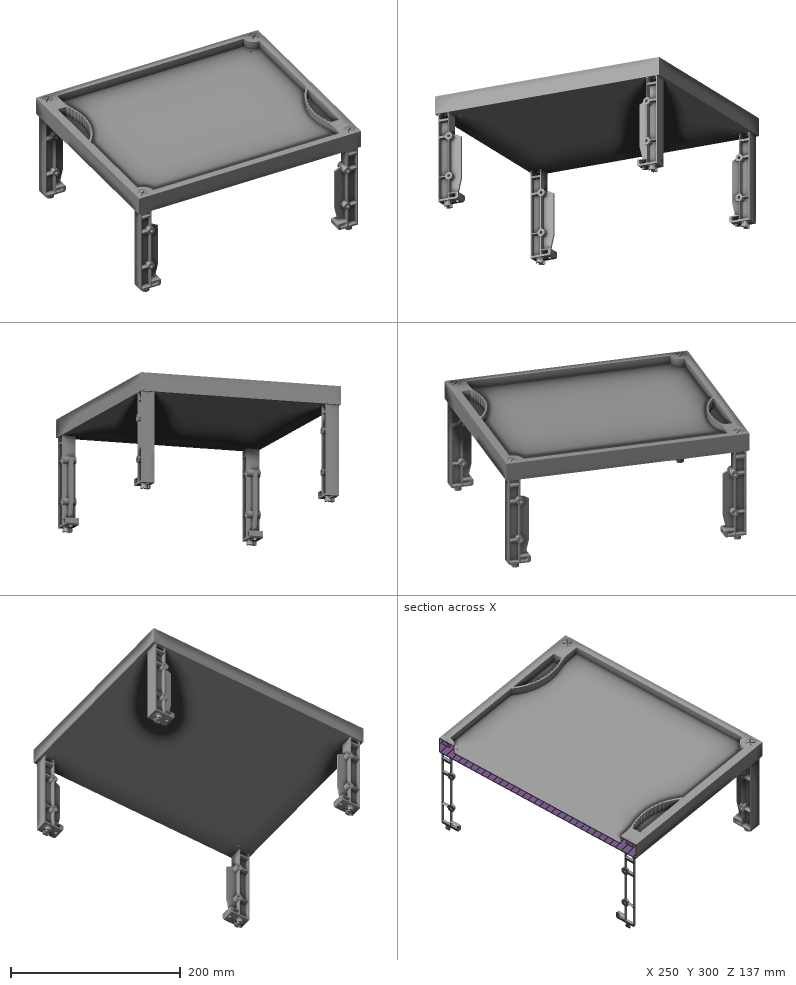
import cadquery as cq
import math

COVER_X = 250.0
COVER_Y = 300.0
COVER_THICK = 22.2
TOTAL_HEIGHT = 137.0
TOP_Z = TOTAL_HEIGHT
COVER_BOTTOM_Z = TOP_Z - COVER_THICK

CORNER_INSET_X = 9.5
CORNER_INSET_Y = 10.5
CORNER_X = COVER_X / 2 - CORNER_INSET_X
CORNER_Y = COVER_Y / 2 - CORNER_INSET_Y
CORNERS = [(sx * CORNER_X, sy * CORNER_Y) for sx in (-1, 1) for sy in (-1, 1)]

TRAY_DEPTH = 10.8
TRAY_HALF_X = 116.5
TRAY_LONG_Y = 139.8
TRAY_SHORT_Y = 126.0
TRAY_BLEND = 54.0
NOTCH_RADIUS = 13.5
PEG_HOLE_DIA = 2.5
PEG_HOLE_X = 103.2
PEG_HOLE_Y = 128.0

GRIP_X = 61.5
GRIP_Y = 120.0
GRIP_RADIUS = 76.2
GRIP_CENTER_Y = GRIP_Y + GRIP_RADIUS
GRIP_WALL = 2.5
GRIP_DEPTH = 13.2
GRIP_LEFT_X = 16.0
GRIP_RIGHT_X = 90.5
FLUTE_COUNT = 10
FLUTE_PITCH_DEG = 4.5
FLUTE_START_DEG = -22
FLUTE_WIDTH = 3.0
FLUTE_DEPTH = 1.0

HEAD_DIA = 13.5
HEAD_HEIGHT = 6.0
HEAD_CROWN = 0.5
CROSS_WIDTH = 1.5
CROSS_LENGTH = 10.8
CROSS_DEPTH = 2.5
CROSS_ANGLE = 45
SHANK_DIA = 3.3
SHANK_TIP = 1.2

LEG_X = 16.5
LEG_Y = 14.0
FLANGE = 1.05
WEB = 2.5
LEG_BOTTOM_Z = 5.7
FLOOR = 2.5
TOP_RIB_Z = 106.5
UPPER_BOSS_Z = 85.5
LOWER_BOSS_Z = 35.7
RIB = 2.5
THIN_RIB = 1.2
BOSS_DIA = 9.3
BOSS_COLLAR_DIA = 9.5
BOSS_HOLE_DIA = 3.5
RIDGE_Z = 111.5
RIDGE_HEIGHT = 1.2
RIDGE_DEPTH = 0.3
HEAD_LIP = 1.2

OUTER_Y = -LEG_Y / 2
INNER_Y = LEG_Y / 2

REACH = 13.0
REACH_Y = INNER_Y + REACH
FIN_BOTTOM_Z = 16.5
FIN_TAPER_Z = 32.7
FIN_SHOULDER_Z = 85.0
FIN_PEAK_Z = 88.8
FIN_PEAK_OFFSET = 5.7
FIN_TOE_OFFSET = 9.3
FIN_TOE_CHAMFER = 1.2
HOOK_TOP_Z = 14.0
HOOK_PLATE = 1.2
HOOK_LIP = 3.3
HOOK_CHAMFER = 1.8
HOOK_ROUND = 1.2
HOOK_INNER_CHAMFER = 1.2
NUB_DIA = 3.5
NUB_HEIGHT = 2.0
NUB_OFFSET = 7.8

PLUG_X = 11.7
PLUG_Y = 10.2
PLUG_OFFSET_Y = 2.5
PLUG_NECK_INSET = 1.0
PLUG_COLLAR = 1.0
PLUG_RIM = 3.5
PLUG_SLOT = 6.0
POST_DIA = 4.8


def box(x0, x1, y0, y1, z0, z1):
    """Box between pairs of limits."""
    size = (x1 - x0, y1 - y0, z1 - z0)
    return cq.Workplane("XY").box(*size, centered=False).translate((x0, y0, z0))


def both_ends(shape):
    """A feature and its copy turned half a revolution about Z."""
    return shape.union(shape.rotate((0, 0, 0), (0, 0, 1), 180))


def turned(point, turn):
    """Plan point as it is (1) or turned half a revolution (-1)."""
    return (turn * point[0], turn * point[1])


def grip_arc_x(y):
    """Half chord of the grip wall on its tray side at the given y."""
    return math.sqrt(GRIP_RADIUS ** 2 - (GRIP_CENTER_Y - y) ** 2)


def tray():
    """Recess outline, stepped in round the grips and two corner screws."""
    diagonal = NOTCH_RADIUS * math.sqrt(0.5)
    notch_mid = (-TRAY_HALF_X + diagonal, TRAY_LONG_Y - diagonal)
    notch_end = (-TRAY_HALF_X + NOTCH_RADIUS, TRAY_LONG_Y)
    notch_start = (-TRAY_HALF_X, TRAY_LONG_Y - NOTCH_RADIUS)
    grip_start = (GRIP_X - grip_arc_x(TRAY_LONG_Y), TRAY_LONG_Y)
    grip_end = (GRIP_X + grip_arc_x(TRAY_SHORT_Y), TRAY_SHORT_Y)

    outline = cq.Workplane("XY").moveTo(*notch_start)
    for turn in (1, -1):
        outline = (
            outline.threePointArc(turned(notch_mid, turn), turned(notch_end, turn))
            .lineTo(*turned(grip_start, turn))
            .threePointArc(turned((GRIP_X, GRIP_Y), turn), turned(grip_end, turn))
            .lineTo(*turned((TRAY_HALF_X, TRAY_SHORT_Y), turn))
            .lineTo(*turned(notch_start, -turn))
        )
    recess = outline.close().extrude(TRAY_DEPTH)
    for turn in (1, -1):
        corner = (*turned(grip_end, turn), TRAY_DEPTH / 2)
        recess = recess.edges(cq.selectors.NearestToPointSelector(corner)).fillet(TRAY_BLEND)
    return recess.translate((0, 0, TOP_Z - TRAY_DEPTH))


def grip():
    """Finger pocket behind the curved wall, with flutes cut into the wall."""
    floor_z = TOP_Z - GRIP_DEPTH
    pocket_radius = GRIP_RADIUS - GRIP_WALL
    disc = cq.Workplane("XY").circle(pocket_radius).extrude(GRIP_DEPTH)
    disc = disc.translate((GRIP_X, GRIP_CENTER_Y, floor_z))
    pocket = disc.intersect(box(GRIP_LEFT_X, GRIP_RIGHT_X, GRIP_Y, TRAY_LONG_Y, floor_z, TOP_Z))
    for i in range(FLUTE_COUNT):
        angle = FLUTE_START_DEG + i * FLUTE_PITCH_DEG
        flute = box(
            -FLUTE_WIDTH / 2, FLUTE_WIDTH / 2,
            -pocket_radius - FLUTE_DEPTH, -pocket_radius + FLUTE_DEPTH,
            floor_z, TOP_Z,
        ).rotate((0, 0, 0), (0, 0, 1), angle)
        pocket = pocket.union(flute.translate((GRIP_X, GRIP_CENTER_Y, 0)))
    return pocket


def make_cover():
    cover = box(-COVER_X / 2, COVER_X / 2, -COVER_Y / 2, COVER_Y / 2, COVER_BOTTOM_Z, TOP_Z)
    cover = cover.cut(tray()).cut(both_ends(grip()))
    peg_hole = cq.Workplane("XY").circle(PEG_HOLE_DIA / 2).extrude(TOP_Z)
    cover = cover.cut(both_ends(peg_hole.translate((-PEG_HOLE_X, PEG_HOLE_Y, 0))))
    head_seats = cq.Workplane("XY").pushPoints(CORNERS).circle(HEAD_DIA / 2).extrude(HEAD_HEIGHT)
    shank_holes = cq.Workplane("XY").pushPoints(CORNERS).circle(SHANK_DIA / 2).extrude(TOP_Z)
    return cover.cut(head_seats.translate((0, 0, TOP_Z - HEAD_HEIGHT))).cut(shank_holes)


def make_screw():
    """Screw on the Z axis with a domed cross-recessed head."""
    radius = HEAD_DIA / 2
    head_z = TOP_Z - HEAD_HEIGHT
    rim_z = TOP_Z - HEAD_CROWN
    tip_z = COVER_BOTTOM_Z - SHANK_TIP
    crown_radius = (radius ** 2 + HEAD_CROWN ** 2) / (2 * HEAD_CROWN)
    mid_x = radius / 2
    mid_z = TOP_Z - crown_radius + math.sqrt(crown_radius ** 2 - mid_x ** 2)
    screw = (
        cq.Workplane("XZ")
        .moveTo(0, tip_z)
        .lineTo(SHANK_DIA / 2, tip_z)
        .lineTo(SHANK_DIA / 2, head_z)
        .lineTo(radius, head_z)
        .lineTo(radius, rim_z)
        .threePointArc((mid_x, mid_z), (0, TOP_Z))
        .close()
        .revolve(360, (0, 0, 0), (0, 1, 0))
    )
    half_length = CROSS_LENGTH / 2
    half_width = CROSS_WIDTH / 2
    arm = box(-half_length, half_length, -half_width, half_width, TOP_Z - CROSS_DEPTH, TOP_Z)
    for angle in (CROSS_ANGLE, CROSS_ANGLE + 90):
        screw = screw.cut(arm.rotate((0, 0, 0), (0, 0, 1), angle))
    return screw


def channel():
    """Flanges, web, floor and cross ribs of one leg."""
    half = LEG_X / 2
    outer_flange = box(-half, half, OUTER_Y, OUTER_Y + FLANGE, LEG_BOTTOM_Z, COVER_BOTTOM_Z)
    inner_flange = box(-half, half, INNER_Y - FLANGE, INNER_Y, LEG_BOTTOM_Z, COVER_BOTTOM_Z)
    web = box(-WEB / 2, WEB / 2, OUTER_Y, INNER_Y, LEG_BOTTOM_Z, TOP_RIB_Z)
    floor = box(-half, half, OUTER_Y, INNER_Y, LEG_BOTTOM_Z, LEG_BOTTOM_Z + FLOOR)
    leg = outer_flange.union(inner_flange).union(web).union(floor)
    for rib_z, rib in ((TOP_RIB_Z, RIB), (UPPER_BOSS_Z, RIB), (LOWER_BOSS_Z, THIN_RIB)):
        leg = leg.union(box(-half, half, OUTER_Y, INNER_Y, rib_z - rib / 2, rib_z + rib / 2))
    bands = (
        (COVER_BOTTOM_Z - HEAD_LIP, COVER_BOTTOM_Z, HEAD_LIP),
        (RIDGE_Z - RIDGE_HEIGHT / 2, RIDGE_Z + RIDGE_HEIGHT / 2, RIDGE_DEPTH),
    )
    for z0, z1, depth in bands:
        leg = leg.union(box(-half, half, OUTER_Y, OUTER_Y + FLANGE + depth, z0, z1))
        leg = leg.union(box(-half, half, INNER_Y - FLANGE - depth, INNER_Y, z0, z1))
    return leg


def fin():
    """Thin plate in line with the web, standing inward of the leg."""
    toe_y = INNER_Y + FIN_TOE_OFFSET
    return (
        cq.Workplane("YZ")
        .moveTo(INNER_Y - FLANGE, FIN_BOTTOM_Z)
        .lineTo(toe_y - FIN_TOE_CHAMFER, FIN_BOTTOM_Z)
        .lineTo(toe_y, FIN_BOTTOM_Z + FIN_TOE_CHAMFER)
        .lineTo(REACH_Y, FIN_TAPER_Z)
        .lineTo(REACH_Y, FIN_SHOULDER_Z)
        .lineTo(INNER_Y + FIN_PEAK_OFFSET, FIN_PEAK_Z)
        .lineTo(INNER_Y, UPPER_BOSS_Z)
        .lineTo(INNER_Y - FLANGE, UPPER_BOSS_Z)
        .close()
        .extrude(WEB / 2, both=True)
    )


def hook():
    """Hollow clip at the foot of the leg with a nub below it."""
    half = LEG_X / 2
    outside = (
        box(-half, half, INNER_Y - FLANGE, REACH_Y, LEG_BOTTOM_Z, HOOK_TOP_Z)
        .edges("|X and >Y and <Z")
        .chamfer(HOOK_CHAMFER)
        .edges("|X and >Y and >Z")
        .fillet(HOOK_ROUND)
    )
    tunnel = (
        box(-half, half, INNER_Y, REACH_Y - HOOK_LIP, LEG_BOTTOM_Z + FLOOR, HOOK_TOP_Z - HOOK_PLATE)
        .edges("|X and <Z")
        .chamfer(HOOK_INNER_CHAMFER)
    )
    nub = cq.Workplane("XY").circle(NUB_DIA / 2).extrude(-NUB_HEIGHT)
    return outside.cut(tunnel).union(nub.translate((0, INNER_Y + NUB_OFFSET, LEG_BOTTOM_Z)))


def plug():
    """Oblong snap plug: two rimmed arms beside a round post, under a collar."""
    rim = cq.Workplane("XY").slot2D(PLUG_X, PLUG_Y).extrude(PLUG_RIM)
    neck_size = (PLUG_X - 2 * PLUG_NECK_INSET, PLUG_Y - 2 * PLUG_NECK_INSET)
    neck = cq.Workplane("XY").slot2D(*neck_size).extrude(LEG_BOTTOM_Z)
    slot = box(-PLUG_SLOT / 2, PLUG_SLOT / 2, -PLUG_Y / 2, PLUG_Y / 2, 0, LEG_BOTTOM_Z)
    arms = rim.union(neck).cut(slot)
    post = cq.Workplane("XY").circle(POST_DIA / 2).extrude(LEG_BOTTOM_Z)
    collar = cq.Workplane("XY").slot2D(PLUG_X, PLUG_Y).extrude(-PLUG_COLLAR)
    collar = collar.translate((0, 0, LEG_BOTTOM_Z))
    return arms.union(post).union(collar).translate((0, PLUG_OFFSET_Y, 0))


def make_leg():
    """Leg centred on the Z axis, its outer flange facing -Y."""
    leg = channel().union(fin()).union(hook()).union(plug())
    boss_points = [(INNER_Y, UPPER_BOSS_Z), (INNER_Y, LOWER_BOSS_Z)]
    boss_plan = cq.Workplane("YZ").pushPoints(boss_points)
    bosses = boss_plan.circle(BOSS_DIA / 2).extrude(LEG_X / 2, both=True)
    collars = boss_plan.circle(BOSS_COLLAR_DIA / 2).extrude(WEB / 2, both=True)
    holes = boss_plan.circle(BOSS_HOLE_DIA / 2).extrude(LEG_X / 2, both=True)
    return leg.union(bosses).union(collars).cut(holes)


cover = make_cover()
screw = make_screw()
leg = make_leg()

screws = []
legs = []
for x, y in CORNERS:
    screws.append(screw.translate((x, y, 0)).val())
    facing = 180 if y > 0 else 0
    legs.append(leg.rotate((0, 0, 0), (0, 0, 1), facing).translate((x, y, 0)).val())

result = cq.Compound.makeCompound([cover.val(), *screws, *legs])